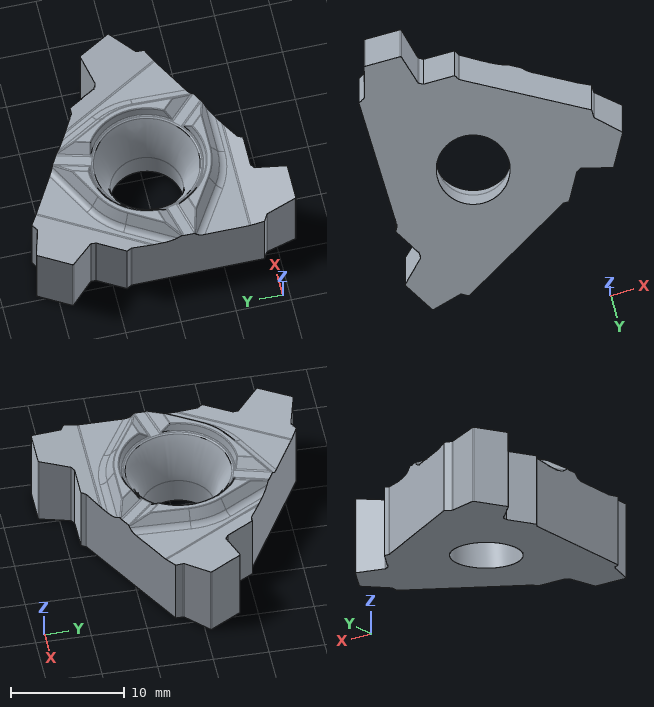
import cadquery as cq
import math

TEETH = 3
PITCH_ANGLE = 360 / TEETH

INSCRIBED_RADIUS = 15.875 / 2
TIP_RADIUS = 12.0
TIP_WIDTH = 3.41
TIP_CENTRE_X = -4.835
TIP_CORNER_RADIUS = 0.12
FLANK_ANGLE = 15
SIDE_SHOULDER_Y = -8.82
REAR_EDGE_Y = -8.945
REAR_EDGE_START_X = -1.96
REAR_EDGE_END_X = 0.91
SHOULDER_ANGLE = 30
REAR_BEVEL_ANGLE = 60
REAR_BEVEL_FILLET = 0.15
TOOTH_ROOT_FILLET = 0.15

TOP_Z = 7.5
TIP_Z = 7.0
FLOOR_Z = 6.21
GROOVE_Z = 6.75
RAMP_ANGLE = 10
RAMP_FILLET = 0.8

BOSS_TOP_RADIUS = 5.74
BOSS_WALL_ANGLE = 35
BOSS_FOOT_FILLET = 0.8
BOSS_ARC = 31.5
BOSS_ARC_END = 30
EDGE_ROUND = 0.1

GROOVE_DIRECTION = -45
GROOVE_OFFSET = -0.1
GROOVE_TOP_HALF_WIDTH = 1.49
GROOVE_WALL_ANGLE = 38
GROOVE_FILLET = 0.25

HOLE_RADIUS = 6.5 / 2
SEAT_BOTTOM_Z = 2.4
SEAT_TOP_RADIUS = 4.77
SEAT_EDGE_ROUND = 0.2
RECESS_TOP_RADIUS = 5.26
RECESS_FLOOR_RADIUS = 5.0
RECESS_FILLET = 0.1

TOLERANCE = 1e-3
CLEARANCE = 1.0
REACH = 2 * TIP_RADIUS


def sin_deg(angle):
    return math.sin(math.radians(angle))


def cos_deg(angle):
    return math.cos(math.radians(angle))


def tan_deg(angle):
    return math.tan(math.radians(angle))


def around_axis(body, index):
    return body.rotate((0, 0, 0), (0, 0, 1), index * PITCH_ANGLE)


def turned(point, index):
    angle = index * PITCH_ANGLE
    x, y = point
    return (x * cos_deg(angle) - y * sin_deg(angle), x * sin_deg(angle) + y * cos_deg(angle))


def meeting_point(point_a, angle_a, point_b, angle_b):
    """Point where two lines, each given by a point and a direction, cross."""
    dx = point_b[0] - point_a[0]
    dy = point_b[1] - point_a[1]
    travel = (dx * sin_deg(angle_b) - dy * cos_deg(angle_b)) / sin_deg(angle_b - angle_a)
    return (point_a[0] + travel * cos_deg(angle_a), point_a[1] + travel * sin_deg(angle_a))


def tooth_corners():
    """Outline corners of one third, from the long side on its left to the one on its right."""
    tip_left = (TIP_CENTRE_X - TIP_WIDTH / 2, -TIP_RADIUS)
    tip_right = (TIP_CENTRE_X + TIP_WIDTH / 2, -TIP_RADIUS)
    side_end = (-INSCRIBED_RADIUS, SIDE_SHOULDER_Y)
    rear_start = (REAR_EDGE_START_X, REAR_EDGE_Y)
    rear_end = (REAR_EDGE_END_X, REAR_EDGE_Y)
    next_side_point = turned((-INSCRIBED_RADIUS, 0), 1)
    next_side_angle = PITCH_ANGLE - 90
    return {
        "side_end": side_end,
        "left_root": meeting_point(side_end, -SHOULDER_ANGLE, tip_left, 90 + FLANK_ANGLE),
        "tip_left": tip_left,
        "tip_right": tip_right,
        "right_root": meeting_point(rear_start, SHOULDER_ANGLE, tip_right, 90 - FLANK_ANGLE),
        "rear_start": rear_start,
        "rear_end": rear_end,
        "rear_bevel": meeting_point(rear_end, REAR_BEVEL_ANGLE, next_side_point, next_side_angle),
    }


CORNER_ROUNDS = {
    "tip_left": TIP_CORNER_RADIUS,
    "tip_right": TIP_CORNER_RADIUS,
    "left_root": TOOTH_ROOT_FILLET,
    "right_root": TOOTH_ROOT_FILLET,
    "rear_bevel": REAR_BEVEL_FILLET,
}


def outline_prism():
    corners = tooth_corners()
    points = [turned(point, index) for index in range(TEETH) for point in corners.values()]
    prism = cq.Workplane("XY").polyline(points).close().extrude(TOP_Z)
    for name, radius in CORNER_ROUNDS.items():
        for index in range(TEETH):
            x, y = turned(corners[name], index)
            prism = prism.edges(cq.NearestToPointSelector((x, y, TOP_Z / 2))).fillet(radius)
    return prism


def tooth_body():
    """Everything below the chip floor and the ramp that rises from it to the tooth tip."""
    ramp_start = -TIP_RADIUS + (TIP_Z - FLOOR_Z) / tan_deg(RAMP_ANGLE)
    tangent = RAMP_FILLET * tan_deg(RAMP_ANGLE / 2)
    blend_start = (ramp_start + tangent, FLOOR_Z)
    blend_end = (
        ramp_start - tangent * cos_deg(RAMP_ANGLE),
        FLOOR_Z + tangent * sin_deg(RAMP_ANGLE),
    )
    overrun_y = -TIP_RADIUS - CLEARANCE
    overrun_z = TIP_Z + CLEARANCE * tan_deg(RAMP_ANGLE)
    return (
        cq.Workplane("YZ")
        .moveTo(0, 0)
        .lineTo(0, FLOOR_Z)
        .lineTo(*blend_start)
        .tangentArcPoint(blend_end, relative=False)
        .lineTo(overrun_y, overrun_z)
        .lineTo(overrun_y, 0)
        .close()
        .extrude(REACH / 2, both=True)
    )


def boss_profile():
    """Half section of the boss: sloping wall with a fillet running out on the chip floor."""
    slope_x = sin_deg(BOSS_WALL_ANGLE)
    slope_z = cos_deg(BOSS_WALL_ANGLE)
    corner = BOSS_TOP_RADIUS + (TOP_Z - FLOOR_Z) * tan_deg(BOSS_WALL_ANGLE)
    tangent = BOSS_FOOT_FILLET * tan_deg((90 - BOSS_WALL_ANGLE) / 2)
    foot = corner + tangent
    return (
        cq.Workplane("XZ")
        .lineTo(0, TOP_Z)
        .lineTo(BOSS_TOP_RADIUS, TOP_Z)
        .lineTo(corner - tangent * slope_x, FLOOR_Z + tangent * slope_z)
        .tangentArcPoint((foot, FLOOR_Z), relative=False)
        .lineTo(foot, 0)
        .close()
    )


def boss():
    """Boss whose wall is an arc and two tangent straights in each third."""
    origin = (0, 0, 0)
    axis_end = (0, 0, 1)
    arc_start = BOSS_ARC_END - BOSS_ARC
    lower_direction = BOSS_ARC_END - PITCH_ANGLE
    arc_sector = boss_profile().revolve(BOSS_ARC, (0, 0), (0, 1)).rotate(origin, axis_end, arc_start)
    right_wall = boss_profile().extrude(REACH).rotate(origin, axis_end, arc_start)
    lower_wall = boss_profile().extrude(-REACH).rotate(origin, axis_end, lower_direction)
    third = right_wall.intersect(lower_wall).union(arc_sector)
    body = third
    for index in range(1, TEETH):
        body = body.union(around_axis(third, index))
    return body.clean()


def radial_groove():
    """Trapezoidal groove along +X with filleted floor corners, turned to its direction."""
    depth = TOP_Z - GROOVE_Z
    floor_half_width = GROOVE_TOP_HALF_WIDTH - depth / tan_deg(GROOVE_WALL_ANGLE)
    overrun = CLEARANCE / tan_deg(GROOVE_WALL_ANGLE)
    mouth_half_width = GROOVE_TOP_HALF_WIDTH + overrun
    return (
        cq.Workplane("YZ")
        .polyline([
            (-floor_half_width, GROOVE_Z),
            (floor_half_width, GROOVE_Z),
            (mouth_half_width, TOP_Z + CLEARANCE),
            (-mouth_half_width, TOP_Z + CLEARANCE),
        ])
        .close()
        .extrude(REACH)
        .faces("<Z").edges("|X")
        .fillet(GROOVE_FILLET)
        .translate((0, GROOVE_OFFSET, 0))
        .rotate((0, 0, 0), (0, 0, 1), GROOVE_DIRECTION)
    )


def recess():
    """Shallow tapered recess in the boss top that forms the ledge around the screw seat."""
    return (
        cq.Workplane("XY", origin=(0, 0, GROOVE_Z))
        .circle(RECESS_FLOOR_RADIUS)
        .workplane(offset=TOP_Z - GROOVE_Z)
        .circle(RECESS_TOP_RADIUS)
        .loft()
        .faces("<Z").edges().fillet(RECESS_FILLET)
    )


def screw_hole():
    """Through hole whose upper part flares along a convex arc to the ledge."""
    return (
        cq.Workplane("XZ")
        .lineTo(HOLE_RADIUS, 0)
        .lineTo(HOLE_RADIUS, SEAT_BOTTOM_Z)
        .tangentArcPoint((SEAT_TOP_RADIUS, GROOVE_Z), relative=False)
        .lineTo(SEAT_TOP_RADIUS, TOP_Z)
        .lineTo(0, TOP_Z)
        .close()
        .revolve(360, (0, 0), (0, 1))
    )


def round_boss_edges(body):
    """Round the edges of the boss top and the edges running from it down to the grooves."""
    edges = body.faces(">Z").edges().vals()
    for edge in body.edges().vals():
        bounds = edge.BoundingBox()
        starts_at_top = abs(bounds.zmax - TOP_Z) < TOLERANCE
        ends_at_groove = GROOVE_Z < bounds.zmin < TOP_Z - TOLERANCE
        if starts_at_top and ends_at_groove:
            edges.append(edge)
    return body.newObject(edges).fillet(EDGE_ROUND)


def round_seat_edge(body):
    """Round the edge between the ledge and the flared screw seat."""
    edge_centre = (0, 0, GROOVE_Z)
    return body.edges(cq.NearestToPointSelector(edge_centre)).fillet(SEAT_EDGE_ROUND)


def finished_boss():
    body = boss()
    for index in range(TEETH):
        body = body.cut(around_axis(radial_groove(), index))
    return round_boss_edges(body.cut(recess()))


body = finished_boss()
for index in range(TEETH):
    body = body.union(around_axis(tooth_body(), index))
body = outline_prism().intersect(body).cut(screw_hole())
result = round_seat_edge(body)